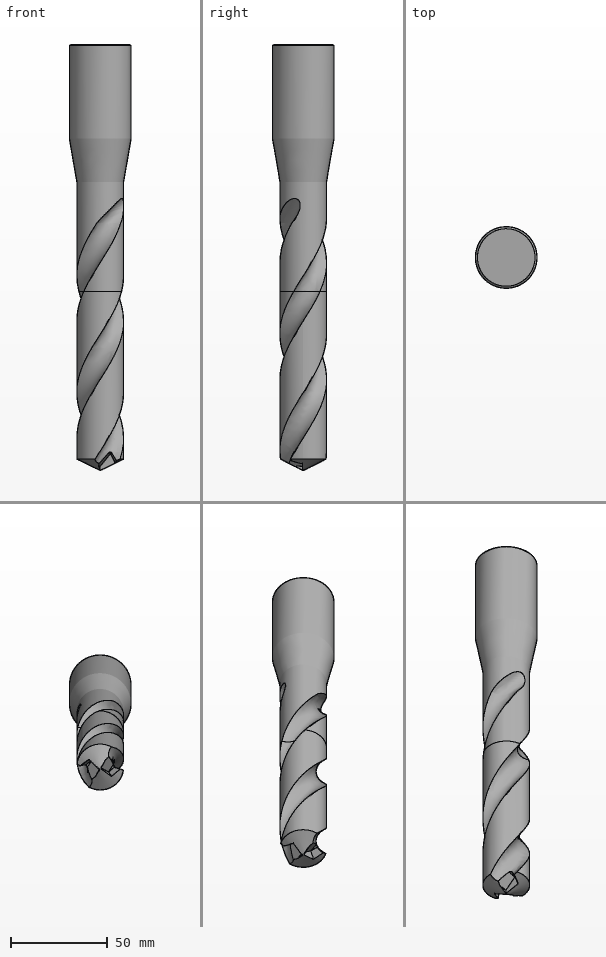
import cadquery as cq
import math

TOTAL_LENGTH = 220.0
SHANK_BOTTOM = 171.2
TAPER_BOTTOM = 149.0
BODY_JOINT = 92.5
POINT_HEIGHT = 6.0

SHANK_RADIUS = 32.0 / 2
DRILL_RADIUS = 24.2 / 2
CHAMFER_RADIAL = 1.0
CHAMFER_HEIGHT = 0.7

FLUTE_COUNT = 2
FLUTE_PITCH = 120.5
FLUTE_CROSSING = 28.5
FLUTE_TOP = 127.5
FLUTE_ARC_RADIUS = 8.8
WEB_RADIUS = 6.5
FLUTE_START = -2.2
RUNOUT_HEIGHT = 22.0
RUNOUT_SLOPE = 1.1

GASH_OFFSET = 0.5
GASH_DEPTH = 11.0
GASH_DRAFT = 11.0
GASH_ROOT_HEIGHT = 2.2
GASH_PEAK = (5.3, 8.8)
GASH_OUTER = (7.3, 4.8)
GASH_BOTTOM = -2.2


def flute_angle(height):
    """Angle of the first flute's centre, in degrees from +X, at a height."""
    return 360.0 * (height - FLUTE_CROSSING) / FLUTE_PITCH


def flute_section(angle, height):
    """Circular cutter outline, horizontal, centred on a flute."""
    centre_radius = WEB_RADIUS + FLUTE_ARC_RADIUS
    a = math.radians(angle)
    return (
        cq.Workplane("XY", origin=(0, 0, height))
        .pushPoints([(centre_radius * math.cos(a), centre_radius * math.sin(a))])
        .circle(FLUTE_ARC_RADIUS)
    )


def helical_cutter():
    """Flute outline twisted about the drill axis."""
    length = FLUTE_TOP - FLUTE_START
    outline = flute_section(flute_angle(FLUTE_START), FLUTE_START)
    return outline.twistExtrude(length, 360.0 * length / FLUTE_PITCH)


def runout_cutter():
    """Straight continuation of the flute that leaves the drill sideways."""
    angle = flute_angle(FLUTE_TOP)
    a = math.radians(angle)
    travel = RUNOUT_SLOPE * RUNOUT_HEIGHT
    direction = cq.Vector(-travel * math.sin(a), travel * math.cos(a), RUNOUT_HEIGHT)
    outline = flute_section(angle, FLUTE_TOP).wires().val()
    return cq.Workplane(cq.Solid.extrudeLinear(outline, [], direction))


def gash_cutter():
    """Drafted pocket in front of the cutting edge on the -Y side."""
    return (
        cq.Workplane("XZ", origin=(0, -GASH_OFFSET, 0))
        .polyline([
            (0, GASH_BOTTOM),
            (0, GASH_ROOT_HEIGHT),
            GASH_PEAK,
            GASH_OUTER,
            (GASH_OUTER[0], GASH_BOTTOM),
        ])
        .close()
        .extrude(GASH_DEPTH, taper=-GASH_DRAFT)
    )


def cut_around_axis(body, cutter):
    """Cut one copy of the cutter for every flute."""
    for i in range(FLUTE_COUNT):
        body = body.cut(cutter.rotate((0, 0, 0), (0, 0, 1), 360.0 * i / FLUTE_COUNT))
    return body


def make_shank():
    """Plain shank, taper and the upper part of the fluted drill."""
    blank = (
        cq.Workplane("XZ")
        .polyline([
            (0, BODY_JOINT),
            (DRILL_RADIUS, BODY_JOINT),
            (DRILL_RADIUS, TAPER_BOTTOM),
            (SHANK_RADIUS, SHANK_BOTTOM),
            (SHANK_RADIUS, TOTAL_LENGTH - CHAMFER_HEIGHT),
            (SHANK_RADIUS - CHAMFER_RADIAL, TOTAL_LENGTH),
            (0, TOTAL_LENGTH),
        ])
        .close()
        .revolve(360, (0, 0), (0, 1))
    )
    fluted = cut_around_axis(blank, helical_cutter())
    return cut_around_axis(fluted, runout_cutter())


def make_cutting_head():
    """Lower fluted length with the conical point and its gashes."""
    blank = (
        cq.Workplane("XZ")
        .polyline([
            (0, 0),
            (DRILL_RADIUS, POINT_HEIGHT),
            (DRILL_RADIUS, BODY_JOINT),
            (0, BODY_JOINT),
        ])
        .close()
        .revolve(360, (0, 0), (0, 1))
    )
    fluted = cut_around_axis(blank, helical_cutter())
    return cut_around_axis(fluted, gash_cutter())


shank = make_shank()
cutting_head = make_cutting_head()

result = cq.Compound.makeCompound([*shank.solids().vals(), *cutting_head.solids().vals()])